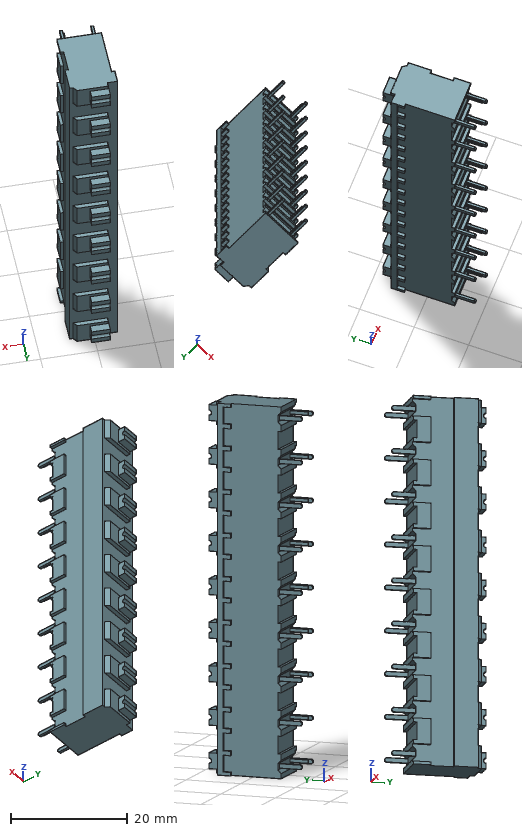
import cadquery as cq

total_height = 65.15
pole_count = 9
pole_pitch = 7.6
first_pole_z = (total_height - pole_pitch * (pole_count - 1)) / 2
pole_heights = [first_pole_z + pole_pitch * i for i in range(pole_count)]
gap_heights = [z + pole_pitch / 2 for z in pole_heights[:-1]]

total_width = 8.4
lip_overhang = 0.6
lip_bottom = 9.05
housing_top = 11.5
cap_top = 12.25
cap_left = 1.75
cap_chamfer_width = 0.6
side_groove_depth = 0.6
side_groove_bottom = 3.05
side_groove_top = 7.25
groove_floor_x = total_width - side_groove_depth

foot_depth = 0.6
foot_height = 4.5
foot_gap = pole_pitch - foot_height
cap_height = 4.0
cap_gap = pole_pitch - cap_height

window_top = 10.4
window_height = 2.9

recess_mouth = 2.35
recess_floor = 1.1
end_slot_height = 3.1

button_overhang = 0.05
button_left = cap_left - button_overhang
button_width = 3.25
button_height = 2.8
button_top = 13.6
button_groove_radius = 0.45

pin_centers_x = (1.55, 7.05)
pin_thickness = 0.45
pin_height = 0.8
pin_tip_y = -3.5
pin_root_y = 1.3
pin_tip_chamfer = 0.25
pin_rib_thickness = 0.2
pin_rib_height = 0.6
pin_rib_end_y = -2.75


def block(x_range, y_range, z_center, height):
    """Box spanning the X and Y ranges, centred on z_center."""
    return (
        cq.Workplane("XY")
        .box(x_range[1] - x_range[0], y_range[1] - y_range[0], height, centered=(False, False, True))
        .translate((x_range[0], y_range[0], z_center))
    )


def make_housing():
    """Full-height extrusion with the lip on -X and the groove on +X."""
    outline = [
        (lip_overhang, 0),
        (total_width, 0),
        (total_width, side_groove_bottom),
        (groove_floor_x, side_groove_bottom),
        (groove_floor_x, side_groove_top),
        (total_width, side_groove_top),
        (total_width, housing_top),
        (groove_floor_x, housing_top),
        (groove_floor_x - cap_chamfer_width, cap_top),
        (cap_left, cap_top),
        (cap_left, housing_top),
        (0, housing_top),
        (0, lip_bottom),
        (lip_overhang, lip_bottom),
    ]
    return cq.Workplane("XY").polyline(outline).close().extrude(total_height)


def make_gap_cut(z):
    """Clearance between two poles: feet, caps and lip."""
    feet = block((0, total_width), (0, foot_depth), z, foot_gap)
    caps = block((0, total_width), (housing_top, cap_top), z, cap_gap)
    lip = block((0, lip_overhang), (lip_bottom, window_top), z, foot_gap)
    return feet.union(caps).union(lip)


def make_pole_cut(z):
    """Lip window, tapered pin recess and the slot at the +X end of the recess."""
    window = block((0, lip_overhang), (lip_bottom, window_top), z, window_height)
    recess = (
        cq.Workplane("YZ")
        .polyline([
            (0, z - recess_mouth / 2),
            (foot_depth, z - recess_floor / 2),
            (foot_depth, z + recess_floor / 2),
            (0, z + recess_mouth / 2),
        ])
        .close()
        .extrude(total_width)
    )
    end_slot = block((groove_floor_x, total_width), (0, side_groove_bottom), z, end_slot_height)
    return window.union(recess).union(end_slot)


def make_button(z):
    """Push button with a half-round groove across its top."""
    button = block((button_left, button_left + button_width), (housing_top, button_top), z, button_height)
    groove = (
        cq.Workplane("YZ")
        .center(button_top, z)
        .circle(button_groove_radius)
        .extrude(total_width)
    )
    return button.cut(groove)


def make_pin(x, z):
    """Flat pin with the tip chamfered on its two narrow sides."""
    sides = (x - pin_thickness / 2, x + pin_thickness / 2)
    pin = block(sides, (pin_tip_y, pin_root_y), z, pin_height)
    return pin.faces("<Y").edges("|X").chamfer(pin_tip_chamfer)


def make_pin_rib(z):
    """Shorter rib on the -X side of the second pin."""
    pin_side = pin_centers_x[1] - pin_thickness / 2
    rib_sides = (pin_side - pin_rib_thickness, pin_side)
    return block(rib_sides, (pin_rib_end_y, pin_root_y), z, pin_rib_height)


result = make_housing()
for gap_z in gap_heights:
    result = result.cut(make_gap_cut(gap_z))
for pole_z in pole_heights:
    result = result.cut(make_pole_cut(pole_z))
    result = result.union(make_button(pole_z))
    for pin_x in pin_centers_x:
        result = result.union(make_pin(pin_x, pole_z))
    result = result.union(make_pin_rib(pole_z))